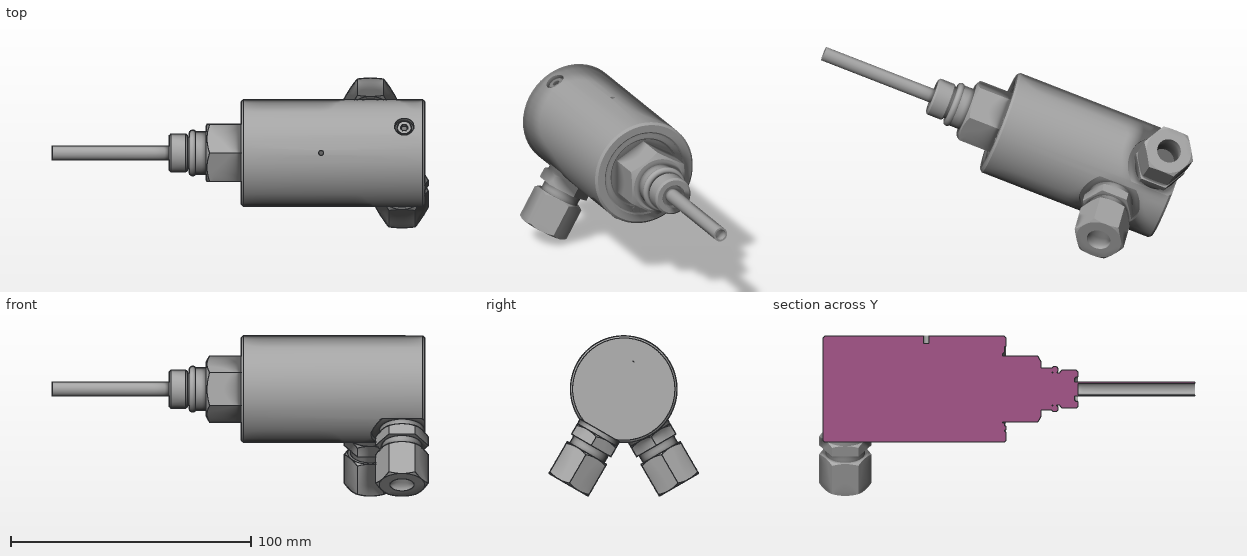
import cadquery as cq
import math

tube_diameter = 6.0
tube_bore = 4.5

gland_start = 48.6
thread_end = 56.3
thread_diameter = 16.0
thread_chamfer = 0.8
gland_bore = 10.0
gland_bore_depth = 1.5
gland_bore_chamfer = 0.6
groove_diameter = 13.5
seal_diameter = 19.0
seal_section = 3.0
seal_start = 56.9
collar_start = 59.4
collar_diameter = 17.8

hex_start = 64.0
hex_flats = 24.0
hex_face_diameter = 22.5

body_start = 78.5
body_end = 155.0
body_diameter = 44.4
body_chamfer = 1.0
body_radius = body_diameter / 2

recess_diameter = 35.0
recess_depth = 0.8
recess_chamfer = 0.6
pocket_diameter = 30.3
pocket_depth = 0.8
pocket_chamfer = 0.6
pocket_flat_height = 13.9
pocket_floor = body_start + recess_depth + pocket_depth
pin_diameter = 2.0
pin_offset_y = 4.4
pin_offset_z = 15.3
key_width = 4.4
key_bottom = 17.2
key_top = 15.2

fitting_angle = 30
near_fitting_x = 145.5
far_fitting_x = 132.3
spot_face_diameter = 25.6
spot_face_level = 19.9
base_hex_level = 22.0
base_hex_end = 27.0
neck_diameter = 16.5
nut_start = 30.6
nut_end = 46.0
fitting_flats = 18.9
fitting_bore = 10.0

plug_x = 146.4
plug_hole_diameter = 8.0
plug_diameter = 6.0
plug_hole_depth = 2.3
plug_drop = 1.1
socket_corners = 3.3
socket_depth = 1.5
vent_x = 111.8
vent_diameter = 2.0
vent_depth = 3.1

overlap = 1.5

hex_half_angle = math.radians(30)
corner_cone_slope = math.tan(math.radians(30))


def rod(start, end, diameter):
    """Cylinder on the X axis."""
    return cq.Workplane("YZ", origin=(start, 0, 0)).circle(diameter / 2).extrude(end - start)


def stud(start, end, diameter):
    """Cylinder on the Z axis."""
    return cq.Workplane("XY", origin=(0, 0, start)).circle(diameter / 2).extrude(end - start)


def place(shape, x, angle):
    """Tilt a shape around the X axis and move it along the body."""
    return shape.rotate((0, 0, 0), (1, 0, 0), angle).translate((x, 0, 0))


def hexagon(flats, start, end):
    """Hexagonal bar along Z with two corners on the X axis."""
    corners = flats / math.cos(hex_half_angle)
    return cq.Workplane("XY", origin=(0, 0, start)).polygon(6, corners).extrude(end - start)


def nut(flats, face_diameter, start, end, both_ends=True):
    """Hexagonal bar along Z with its corners turned to 30 degree cones at the start, or at both ends."""
    corner_radius = flats / 2 / math.cos(hex_half_angle)
    face_radius = face_diameter / 2
    drop = (corner_radius - face_radius) * corner_cone_slope
    turned = (
        cq.Workplane("XZ")
        .moveTo(0, start)
        .lineTo(face_radius, start)
        .lineTo(corner_radius, start + drop)
    )
    if both_ends:
        turned = turned.lineTo(corner_radius, end - drop).lineTo(face_radius, end)
    else:
        turned = turned.lineTo(corner_radius, end)
    turned = turned.lineTo(0, end).close().revolve(360, (0, 0), (0, 1))
    return hexagon(flats, start, end).intersect(turned)


def gland():
    """Threaded end, seal ring in its groove, collar and hexagon."""
    thread = rod(gland_start, thread_end, thread_diameter).edges().chamfer(thread_chamfer)
    bore = rod(gland_start, gland_start + gland_bore_depth, gland_bore)
    bore = bore.faces(">X").chamfer(gland_bore_chamfer)
    seal_centre_radius = (seal_diameter - seal_section) / 2
    core = rod(thread_end, collar_start, groove_diameter)
    seal = (
        cq.Workplane("XY")
        .center(seal_start + seal_section / 2, 0)
        .moveTo(0, seal_centre_radius)
        .circle(seal_section / 2)
        .revolve(360, (0, 0), (1, 0))
    )
    collar = rod(collar_start, hex_start, collar_diameter)
    hex_length = pocket_floor - hex_start
    gland_hex = nut(hex_flats, hex_face_diameter, 0, hex_length, both_ends=False)
    gland_hex = gland_hex.rotate((0, 0, 0), (0, 1, 0), 90).translate((hex_start, 0, 0))
    return thread.cut(bore).union(core).union(seal).union(collar).union(gland_hex)


def tube():
    """Thin probe tube, bored as far as the gland."""
    outside = rod(0, gland_start + gland_bore_depth, tube_diameter)
    return outside.cut(rod(0, gland_start, tube_bore))


def body():
    """Housing with the stepped recess, two pins and a key in its front face."""
    housing = rod(body_start, body_end, body_diameter).edges().chamfer(body_chamfer)
    floor = body_start + recess_depth
    housing = housing.cut(rod(body_start, floor, recess_diameter))
    smallest_circle = cq.selectors.RadiusNthSelector(0)
    housing = housing.faces("<X").edges(smallest_circle).chamfer(recess_chamfer)
    pocket = rod(floor, pocket_floor, pocket_diameter).faces(">X").chamfer(pocket_chamfer)
    above_flat = cq.Workplane("XY", origin=(floor, 0, -pocket_flat_height)).box(
        body_diameter, body_diameter, body_diameter, centered=(True, True, False)
    )
    housing = housing.cut(pocket.intersect(above_flat))
    for side in (-1, 1):
        pin = rod(body_start, floor, pin_diameter)
        housing = housing.union(pin.translate((0, side * pin_offset_y, -pin_offset_z)))
    key = cq.Workplane("XY", origin=(body_start, 0, -key_bottom)).box(
        recess_depth, key_width, key_bottom - key_top, centered=(False, True, False)
    )
    return housing.union(key)


def fitting():
    """Tube fitting along Z, measured from the body axis."""
    stub = stud(spot_face_level - overlap, base_hex_level, fitting_flats)
    base = nut(fitting_flats, fitting_flats, base_hex_level, base_hex_end, both_ends=False)
    neck = stud(base_hex_end, nut_start, neck_diameter)
    cap = nut(fitting_flats, fitting_flats, nut_start, nut_end)
    bore = stud(nut_start, nut_end, fitting_bore)
    return stub.union(base).union(neck).union(cap.cut(bore))


def plug_recess():
    """Ring-shaped recess around a socket-head plug, along Z."""
    floor = body_radius - plug_hole_depth
    head_top = body_radius - plug_drop
    hole = stud(floor, body_radius + overlap, plug_hole_diameter)
    hole = hole.cut(stud(floor, head_top, plug_diameter))
    socket = (
        cq.Workplane("XY", origin=(0, 0, head_top - socket_depth))
        .polygon(6, socket_corners)
        .extrude(socket_depth)
    )
    return hole.union(socket)


result = body()

fitting_places = (
    (near_fitting_x, 180 - fitting_angle),
    (far_fitting_x, 180 + fitting_angle),
)
spot_face = stud(spot_face_level, nut_end, spot_face_diameter)
for fitting_x, tilt in fitting_places:
    result = result.cut(place(spot_face, fitting_x, tilt))
for fitting_x, tilt in fitting_places:
    result = result.union(place(fitting(), fitting_x, tilt))

result = result.cut(place(plug_recess(), plug_x, -fitting_angle))

vent = stud(body_radius - vent_depth, body_radius + overlap, vent_diameter)
result = result.cut(vent.translate((vent_x, 0, 0)))

result = result.union(gland()).union(tube())